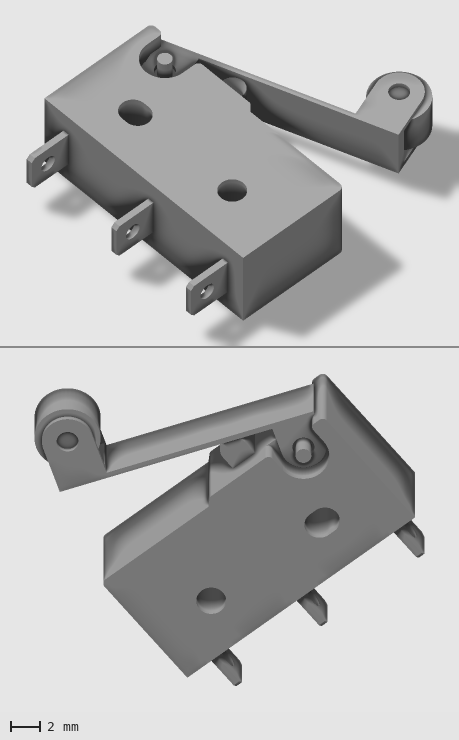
import cadquery as cq
import math

TILT = -20.0

HOUSING_THICKNESS = 6.5
HOUSING_LENGTH = 20.0
HOUSING_LEFT = -2.98
HOUSING_RIGHT = HOUSING_LEFT + HOUSING_LENGTH
HOUSING_BOTTOM = -8.53
HOUSING_TOP = 1.51
SHOULDER_TOP = 0.98
STEP_START = 7.0
STEP_END = 7.57
EDGE_RADIUS = 0.37
END_RADIUS = 0.45

MOUNT_DIAMETER = 2.05
MOUNT_V = -4.85
SLOT_U = 2.25
ROUND_HOLE_U = 12.0
SLOT_TRAVEL = 0.5

TERMINAL_POSITIONS = (-0.78, 7.75, 15.25)
TERMINAL_THICKNESS = 0.51
TERMINAL_WIDTH = 3.03
TERMINAL_LENGTH = 3.47
TERMINAL_CHAMFER = 0.3
TERMINAL_HOLE_DIAMETER = 1.27
TERMINAL_HOLE_FROM_TIP = 1.55

LEVER_WIDTH = 4.0
SHEET = 0.4
LEVER_INNER_WIDTH = LEVER_WIDTH - 2 * SHEET
PLATE_TOP = 2.45
PLATE_BOTTOM = PLATE_TOP - SHEET
PIVOT_EAR_RADIUS = 1.56
ROLLER_EAR_RADIUS = 1.75
EAR_HOLE_DIAMETER = 1.51
BRACKET_FLOOR = PLATE_TOP + SHEET

ROLLER_X = 15.2
ROLLER_Y = 5.6
ROLLER_RADIUS = 2.27
ROLLER_WIDTH = 3.03

NOTCH_RADIUS = 1.78
WEB_THICKNESS = LEVER_INNER_WIDTH
PIVOT_PIN_DIAMETER = 1.07

BUTTON_WIDTH = 1.93
BUTTON_U = 4.0
BUTTON_DEPTH = 3.03


def centred_prism(sketch, thickness):
    """Extrude a flat outline equally to both sides of Z = 0."""
    return sketch.extrude(thickness).translate((0, 0, -thickness / 2))


def housing_block():
    outline = (
        cq.Workplane("XY")
        .moveTo(HOUSING_LEFT, HOUSING_BOTTOM)
        .lineTo(HOUSING_RIGHT, HOUSING_BOTTOM)
        .lineTo(HOUSING_RIGHT, SHOULDER_TOP)
        .lineTo(STEP_END, SHOULDER_TOP)
        .lineTo(STEP_START, HOUSING_TOP)
        .lineTo(HOUSING_LEFT, HOUSING_TOP)
        .close()
    )
    block = centred_prism(outline, HOUSING_THICKNESS)
    block = block.edges(cq.NearestToPointSelector((HOUSING_RIGHT, SHOULDER_TOP, 0))).fillet(END_RADIUS)
    for u in (STEP_START, HOUSING_LEFT):
        block = block.edges(cq.NearestToPointSelector((u, HOUSING_TOP, 0))).fillet(EDGE_RADIUS)
    return block


def pivot_recess():
    """Round-bottomed pocket, flared at its mouth so the housing corners come out rounded."""
    corner_offset = EDGE_RADIUS * math.sqrt(0.5)
    corner_centre_u = NOTCH_RADIUS + EDGE_RADIUS
    corner_centre_v = HOUSING_TOP - EDGE_RADIUS
    arc_u = corner_centre_u - corner_offset
    arc_v = corner_centre_v + corner_offset
    outline = (
        cq.Workplane("XY")
        .workplane(offset=WEB_THICKNESS / 2)
        .moveTo(-NOTCH_RADIUS, 0)
        .threePointArc((0, -NOTCH_RADIUS), (NOTCH_RADIUS, 0))
        .lineTo(NOTCH_RADIUS, corner_centre_v)
        .threePointArc((arc_u, arc_v), (corner_centre_u, HOUSING_TOP))
        .lineTo(-corner_centre_u, HOUSING_TOP)
        .threePointArc((-arc_u, arc_v), (-NOTCH_RADIUS, corner_centre_v))
        .close()
    )
    return outline.extrude((HOUSING_THICKNESS - WEB_THICKNESS) / 2)


def mounting_holes():
    holes = cq.Workplane("XY").center(ROUND_HOLE_U, MOUNT_V).circle(MOUNT_DIAMETER / 2)
    slot = cq.Workplane("XY").center(SLOT_U, MOUNT_V).slot2D(MOUNT_DIAMETER + SLOT_TRAVEL, MOUNT_DIAMETER)
    return centred_prism(holes, HOUSING_THICKNESS).union(centred_prism(slot, HOUSING_THICKNESS))


def terminal(u):
    tip = HOUSING_BOTTOM - TERMINAL_LENGTH
    blade = (
        cq.Workplane("XY")
        .box(TERMINAL_THICKNESS, TERMINAL_LENGTH, TERMINAL_WIDTH)
        .edges("|X and <Y")
        .chamfer(TERMINAL_CHAMFER)
        .translate((u, tip + TERMINAL_LENGTH / 2, 0))
    )
    hole = (
        cq.Workplane("YZ", origin=(u, tip + TERMINAL_HOLE_FROM_TIP, 0))
        .circle(TERMINAL_HOLE_DIAMETER / 2)
        .extrude(TERMINAL_THICKNESS, both=True)
    )
    return blade.cut(hole)


def push_button():
    radius = BUTTON_WIDTH / 2
    tilt = math.radians(TILT)
    tip_centre = (PLATE_BOTTOM - radius - BUTTON_U * math.sin(tilt)) / math.cos(tilt)
    outline = (
        cq.Workplane("XY")
        .moveTo(BUTTON_U - radius, 0)
        .lineTo(BUTTON_U + radius, 0)
        .lineTo(BUTTON_U + radius, tip_centre)
        .threePointArc((BUTTON_U, tip_centre + radius), (BUTTON_U - radius, tip_centre))
        .close()
    )
    return centred_prism(outline, BUTTON_DEPTH)


def make_housing(lever):
    recess = pivot_recess()
    body = housing_block().union(push_button())
    body = body.cut(recess).cut(recess.mirror("XY")).cut(mounting_holes())
    body = body.union(centred_prism(cq.Workplane("XY").circle(PIVOT_PIN_DIAMETER / 2), HOUSING_THICKNESS))
    for u in TERMINAL_POSITIONS:
        body = body.union(terminal(u))
    body = body.rotate((0, 0, 0), (0, 0, 1), TILT)
    return body.cut(lever)


def lever_ears(x, y, radius, base_y, gap_y):
    """Pair of drilled, round-ended ears around the centre (x, y); the gap between them starts at gap_y."""
    end_y = y + math.copysign(radius, y - base_y)
    outline = (
        cq.Workplane("XY")
        .moveTo(x - radius, base_y)
        .lineTo(x - radius, y)
        .threePointArc((x, end_y), (x + radius, y))
        .lineTo(x + radius, base_y)
        .close()
    )
    ears = centred_prism(outline, LEVER_WIDTH)
    hole = cq.Workplane("XY").center(x, y).circle(EAR_HOLE_DIAMETER / 2)
    gap = cq.Workplane("XY").moveTo(x - radius, gap_y).lineTo(x + radius, gap_y)
    gap = gap.lineTo(x + radius, end_y).lineTo(x - radius, end_y).close()
    return ears.cut(centred_prism(hole, LEVER_WIDTH)).cut(centred_prism(gap, LEVER_INNER_WIDTH))


def make_lever():
    plate_left = -PIVOT_EAR_RADIUS
    plate_right = ROLLER_X + ROLLER_EAR_RADIUS
    plate = cq.Workplane("XY").box(plate_right - plate_left, SHEET, LEVER_WIDTH)
    plate = plate.translate(((plate_left + plate_right) / 2, PLATE_TOP - SHEET / 2, 0))
    pivot_ears = lever_ears(0, 0, PIVOT_EAR_RADIUS, PLATE_TOP, PLATE_BOTTOM)
    roller_ears = lever_ears(ROLLER_X, ROLLER_Y, ROLLER_EAR_RADIUS, PLATE_BOTTOM, BRACKET_FLOOR)
    return plate.union(pivot_ears).union(roller_ears)


def make_roller():
    return centred_prism(cq.Workplane("XY").center(ROLLER_X, ROLLER_Y).circle(ROLLER_RADIUS), ROLLER_WIDTH)


lever = make_lever()
housing = make_housing(lever)
roller = make_roller()

result = cq.Compound.makeCompound([*housing.solids().vals(), *lever.solids().vals(), *roller.solids().vals()])